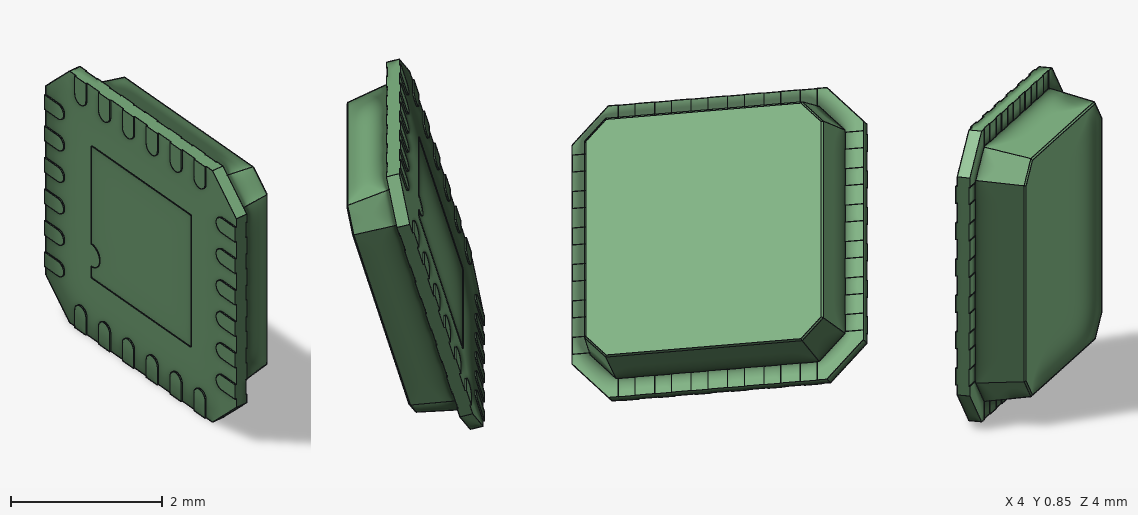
import cadquery as cq

side = 4.0
total_depth = 0.85

base_depth = 0.195
pad_height = 0.02
plate_depth = base_depth - pad_height
plate_chamfer = 0.5

lid_side = 3.5
lid_chamfer = 0.355
lid_taper = 10.0
lid_height = total_depth - base_depth
lid_edge_bevel = 0.02

pads_per_side = 6
pad_pitch = 0.5
pad_width = 0.23
pad_length = 0.4

notch_depth = 0.01
notch_length = (side - lid_side) / 2

pocket_side = 2.1
pocket_depth = 0.01
pocket_corner_radius = 0.025
tab_radius = 0.18
tab_center_z = 2 * tab_radius - pocket_side / 2


def octagon_prism(width, chamfer, depth, taper=0):
    """Square with clipped corners, centred on the Y axis and grown from Y = 0 toward +Y."""
    half = width / 2
    flat = half - chamfer
    corners = [
        (half, flat), (flat, half), (-flat, half), (-half, flat),
        (-half, -flat), (-flat, -half), (flat, -half), (half, -flat),
    ]
    facing_back = cq.Plane(origin=(0, 0, 0), xDir=(1, 0, 0), normal=(0, 1, 0))
    return cq.Workplane(facing_back).polyline(corners).close().extrude(depth, taper=taper)


def make_lid():
    lid = octagon_prism(lid_side, lid_chamfer, lid_height, lid_taper)
    return lid.faces(">Y").edges().chamfer(lid_edge_bevel)


def make_plate():
    return octagon_prism(side, plate_chamfer, plate_depth).translate((0, -plate_depth, 0))


def make_pad(offset):
    """Pad on the -Z side: square at the outer edge, full round at the inner end."""
    half_width = pad_width / 2
    edge_z = -side / 2
    tip_z = edge_z + pad_length
    shoulder_z = tip_z - half_width
    return (
        cq.Workplane("XZ", origin=(0, -plate_depth, 0))
        .moveTo(offset - half_width, edge_z)
        .lineTo(offset - half_width, shoulder_z)
        .threePointArc((offset, tip_z), (offset + half_width, shoulder_z))
        .lineTo(offset + half_width, edge_z)
        .close()
        .extrude(pad_height)
    )


def make_notch(offset):
    """Cutter for the notch in the back face behind the pad on the -Z side."""
    notch = cq.Workplane("XY").box(pad_width, notch_depth, notch_length, centered=(True, False, False))
    return notch.translate((offset, -notch_depth, -side / 2))


def make_pocket():
    pocket_floor = cq.Workplane("XZ", origin=(0, pocket_depth - plate_depth, 0))
    pocket = pocket_floor.rect(pocket_side, pocket_side).extrude(pocket_depth)
    pocket = pocket.edges("|Y").fillet(pocket_corner_radius)
    tab = pocket_floor.center(-pocket_side / 2, tab_center_z).circle(tab_radius).extrude(pocket_depth)
    return pocket.cut(tab)


result = make_plate().union(make_lid()).cut(make_pocket())

for quarter_turn in range(4):
    for index in range(pads_per_side):
        pad_offset = (index - (pads_per_side - 1) / 2) * pad_pitch
        turn = (0, 0, 0), (0, 1, 0), 90 * quarter_turn
        pad = make_pad(pad_offset).rotate(*turn)
        notch = make_notch(pad_offset).rotate(*turn)
        result = result.union(pad).cut(notch)